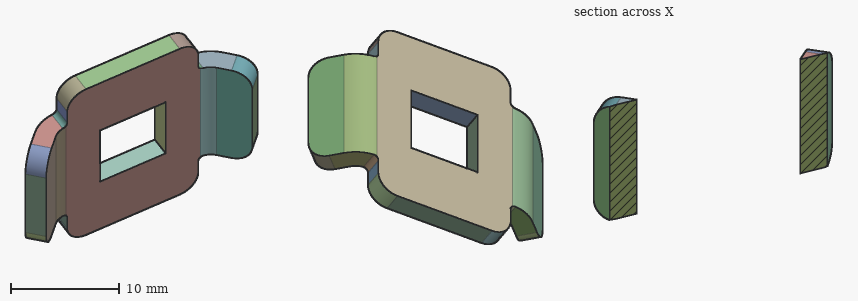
import cadquery as cq
import math

thickness = 2.0
plate_width = 14.0
plate_height = 20.0
corner_radius = 2.0
window_size = 7.0

tab_height = 12.0
bend_angle = math.radians(45)
inner_bend_radius = 2.0
outer_bend_radius = inner_bend_radius + thickness
inner_corner_y = 8.0
tab_reach_x = 5.0
root_fillet = 0.5

bend_start_y = inner_corner_y - inner_bend_radius * math.tan(bend_angle / 2)
bend_center_x = outer_bend_radius
inner_tip_y = inner_corner_y + (tab_reach_x - thickness) / math.tan(bend_angle)
outer_tip_x = tab_reach_x - thickness * math.cos(bend_angle)
outer_tip_y = inner_tip_y + thickness * math.sin(bend_angle)


def bend_point(radius, angle):
    """XY point on the bend, at the given angle past the flat plate."""
    return (
        bend_center_x - radius * math.cos(angle),
        bend_start_y + radius * math.sin(angle),
    )


def make_plate():
    """Flat plate with rounded corners."""
    return (
        cq.Workplane("YZ")
        .rect(plate_width, plate_height)
        .extrude(thickness)
        .edges("|X")
        .fillet(corner_radius)
    )


def make_bent_strip(height):
    """Bent strip on the +Y side, with square ends, centred on Z = 0."""
    half_bend = bend_angle / 2
    return (
        cq.Workplane("XY")
        .workplane(offset=-height / 2)
        .moveTo(0, 0)
        .lineTo(0, bend_start_y)
        .threePointArc(bend_point(outer_bend_radius, half_bend), bend_point(outer_bend_radius, bend_angle))
        .lineTo(outer_tip_x, outer_tip_y)
        .lineTo(tab_reach_x, inner_tip_y)
        .lineTo(*bend_point(inner_bend_radius, bend_angle))
        .threePointArc(bend_point(inner_bend_radius, half_bend), bend_point(inner_bend_radius, 0))
        .lineTo(thickness, 0)
        .close()
        .extrude(height)
    )


def make_tab():
    """Tab on the +Y side, with rounded tip corners."""
    tip_x = (outer_tip_x + tab_reach_x) / 2
    tip_y = (outer_tip_y + inner_tip_y) / 2
    margin = thickness / 4
    tip_corners = cq.selectors.BoxSelector(
        (tip_x - margin, tip_y - margin, -tab_height),
        (tip_x + margin, tip_y + margin, tab_height),
    )
    return make_bent_strip(tab_height).edges(tip_corners).fillet(corner_radius)


def make_root_fillets():
    """Concave fillets in the upper and lower corners between the plate side and the +Y tab."""
    corner_y = plate_width / 2
    corner_z = tab_height / 2
    arc_middle = root_fillet * (1 - math.sqrt(0.5))
    upper = (
        cq.Workplane("YZ")
        .moveTo(corner_y, corner_z)
        .lineTo(corner_y + root_fillet, corner_z)
        .threePointArc((corner_y + arc_middle, corner_z + arc_middle), (corner_y, corner_z + root_fillet))
        .close()
        .extrude(tab_reach_x)
    )
    fillets = upper.union(upper.mirror("XY"))
    return fillets.intersect(make_bent_strip(plate_height))


def make_window():
    """Square opening through the middle of the plate."""
    return cq.Workplane("YZ").rect(window_size, window_size).extrude(thickness)


side = make_tab().union(make_root_fillets())
body = make_plate().union(side).union(side.mirror("XZ"))
result = body.cut(make_window())